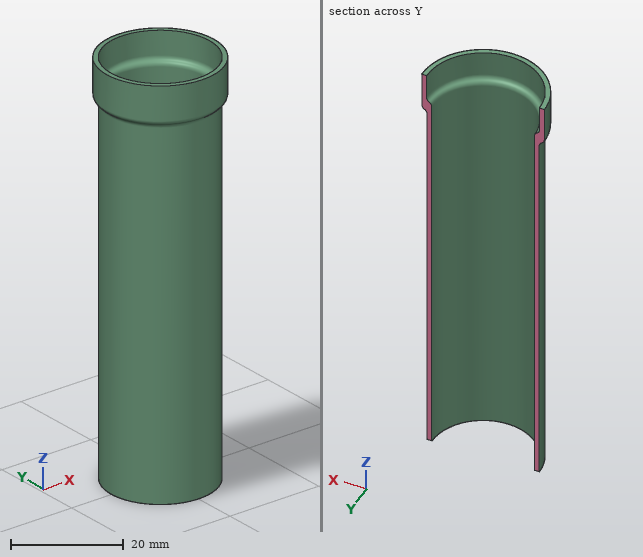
import cadquery as cq
import math

total_length = 82.8
bore_radius = 10.0
wall = 1.0
socket_step = 1.0
bend_radius = 1.0
outer_socket_length = 7.0
inner_socket_depth = 5.0

tube_radius = bore_radius + wall
socket_bore_radius = bore_radius + socket_step
socket_radius = tube_radius + socket_step

bend_angle = math.acos(1 - socket_step / (2 * bend_radius))
arc_drop = bend_radius * math.sin(bend_angle)
half_bend_drop = bend_radius * math.sin(bend_angle / 2)
half_bend_shift = bend_radius * (1 - math.cos(bend_angle / 2))


def transition_points(wide_radius, top_z):
    """Points along an S-shaped transition, from its wide top to its narrow bottom."""
    narrow_radius = wide_radius - socket_step
    bottom_z = top_z - 2 * arc_drop
    return [
        (wide_radius, top_z),
        (wide_radius - half_bend_shift, top_z - half_bend_drop),
        (wide_radius - socket_step / 2, top_z - arc_drop),
        (narrow_radius + half_bend_shift, bottom_z + half_bend_drop),
        (narrow_radius, bottom_z),
    ]


def make_solid_of_revolution(narrow_radius, wide_radius, straight_length):
    """Stepped cylinder with a wide top end blending into a narrow lower length."""
    points = transition_points(wide_radius, total_length - straight_length)
    top, upper_mid, middle, lower_mid, bottom = points
    profile = (
        cq.Workplane("XZ")
        .moveTo(0, total_length)
        .lineTo(wide_radius, total_length)
        .lineTo(*top)
        .threePointArc(upper_mid, middle)
        .threePointArc(lower_mid, bottom)
        .lineTo(narrow_radius, 0)
        .lineTo(0, 0)
        .close()
    )
    return profile.revolve(360, (0, 0, 0), (0, 1, 0))


outside = make_solid_of_revolution(tube_radius, socket_radius, outer_socket_length)
bore = make_solid_of_revolution(bore_radius, socket_bore_radius, inner_socket_depth)
result = outside.cut(bore)